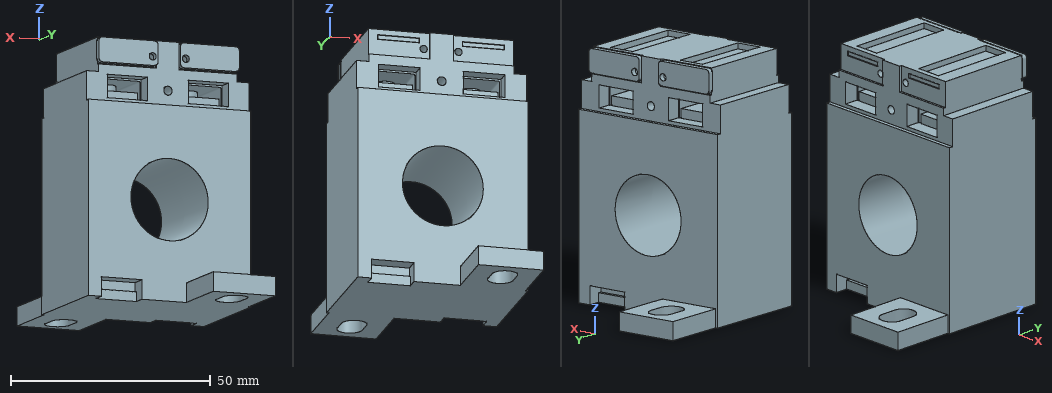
import cadquery as cq

SIDES = (-1, 1)

WIDTH = 44.3
HEIGHT = 66.5
BASE_DEPTH = 30.3
BASE_TOP = 50.1
NECK_DEPTH = 28.05
NECK_TOP = 57.5
HEAD_WIDTH = 37.8
HEAD_FRONT = NECK_DEPTH / 2

BORE_DIAMETER = 21.0
BORE_Z = 25.95

TOTAL_DEPTH = 65.3
FOOT_X = 13.05
FOOT_WIDTH = 17.0
FOOT_HEIGHT = 5.0
FOOT_LENGTH = (TOTAL_DEPTH - BASE_DEPTH) / 2
FOOT_SLOT_WIDTH = 6.5
FOOT_SLOT_LENGTH = 10.6
FOOT_SLOT_TO_TIP = 8.25

NOTCH_WIDTH = 11.05
NOTCH_DEPTH = 3.6
NOTCH_LIP_HEIGHT = FOOT_HEIGHT / 2
NOTCH_UNDERCUT = 1.0

CHAMBER_X = 11.05
CHAMBER_WIDTH = 10.2
CHAMBER_FLOOR = 51.0
CHAMBER_ROOF = 56.5
CHAMBER_CORNER_RADIUS = 0.4
MOUTH_STEP = 0.3
MOUTH_WIDTH = CHAMBER_WIDTH + 2 * MOUTH_STEP
MOUTH_ROOF = CHAMBER_ROOF + 0.45
MOUTH_DEPTH = 4.0

TERMINAL_X = 11.1
TERMINAL_WIDTH = 9.1
TERMINAL_TOP = 53.5
SCREW_DIAMETER = 5.2

RECESS_INNER_X = 3.05
RECESS_WIDTH = HEAD_WIDTH / 2 - RECESS_INNER_X
RECESS_DEPTH = 0.65
RECESS_FLOOR = 59.5
RECESS_FACE = HEAD_FRONT - RECESS_DEPTH

LATCH_WIDTH = MOUTH_WIDTH
LATCH_BOTTOM = 63.85
LATCH_TOP = 65.05
LATCH_DEPTH = 0.4

SEAL_HOLE_X = 4.5
SEAL_HOLE_Z = 62.25
SEAL_HOLE_DIAMETER = 1.85
CENTRE_HOLE_Z = 53.9
CENTRE_HOLE_DIAMETER = 2.25

LABEL_X = 11.1
LABEL_WIDTH = 7.05
LABEL_LENGTH = 23.5
LABEL_DEPTH = 1.5

COVER_WIDTH = 16.1
COVER_THICKNESS = 1.5
COVER_BOTTOM = 59.9
COVER_TOP = 66.3
COVER_CORNER_RADIUS = 1.0


def block(width, depth, bottom, top, x=0.0, y=0.0):
    """Box centred on (x, y) between two heights."""
    return cq.Workplane("XY", origin=(x, y, bottom)).box(
        width, depth, top - bottom, centered=(True, True, False)
    )


def cross_hole(diameter, x, z):
    """Cylinder along Y, longer than the housing is deep."""
    return cq.Workplane("XZ", origin=(x, 0, z)).circle(diameter / 2).extrude(BASE_DEPTH, both=True)


def rear_copy(front_shape):
    """The front shape turned half round the Z axis."""
    return front_shape.rotate((0, 0, 0), (0, 0, 1), 180)


def front_foot():
    """Slotted plate standing out from the front of the base."""
    plate = block(FOOT_WIDTH, FOOT_LENGTH, 0, FOOT_HEIGHT, FOOT_X, -(BASE_DEPTH + FOOT_LENGTH) / 2)
    slot = (
        cq.Workplane("XY", origin=(FOOT_X, -TOTAL_DEPTH / 2 + FOOT_SLOT_TO_TIP, 0))
        .slot2D(FOOT_SLOT_LENGTH, FOOT_SLOT_WIDTH, 90)
        .extrude(FOOT_HEIGHT)
    )
    return plate.cut(slot)


def front_notch():
    """Notch in the lower front edge, cut further back above its lip."""
    upper_depth = NOTCH_DEPTH + NOTCH_UNDERCUT
    front = -BASE_DEPTH / 2
    lower = block(NOTCH_WIDTH, NOTCH_DEPTH, 0, NOTCH_LIP_HEIGHT, -FOOT_X, front + NOTCH_DEPTH / 2)
    upper = block(NOTCH_WIDTH, upper_depth, NOTCH_LIP_HEIGHT, FOOT_HEIGHT, -FOOT_X, front + upper_depth / 2)
    return lower.union(upper)


def chamber(side):
    """Terminal chamber through the neck, rounded under its roof, with its two mouths."""
    x = side * CHAMBER_X
    cavity = block(CHAMBER_WIDTH, NECK_DEPTH, CHAMBER_FLOOR, CHAMBER_ROOF, x)
    cavity = cavity.faces(">Z").edges("|Y").fillet(CHAMBER_CORNER_RADIUS)
    for end in SIDES:
        mouth_y = end * (NECK_DEPTH - MOUTH_DEPTH) / 2
        cavity = cavity.union(block(MOUTH_WIDTH, MOUTH_DEPTH, CHAMBER_FLOOR, MOUTH_ROOF, x, mouth_y))
    return cavity


def corner_recess(side, end):
    """Shallow recess in one corner of the head."""
    x = side * (RECESS_INNER_X + RECESS_WIDTH / 2)
    y = end * (HEAD_FRONT - RECESS_DEPTH / 2)
    return block(RECESS_WIDTH, RECESS_DEPTH, RECESS_FLOOR, HEIGHT, x, y)


def latch_slot(side):
    """Shallow slot in the face of a front recess."""
    y = -RECESS_FACE + LATCH_DEPTH / 2
    return block(LATCH_WIDTH, LATCH_DEPTH, LATCH_BOTTOM, LATCH_TOP, side * CHAMBER_X, y)


def make_housing():
    base = block(WIDTH, BASE_DEPTH, 0, BASE_TOP)
    neck = block(WIDTH, NECK_DEPTH, BASE_TOP, NECK_TOP)
    head = block(HEAD_WIDTH, NECK_DEPTH, NECK_TOP, HEIGHT)
    body = base.union(neck).union(head)
    body = body.union(front_foot()).union(rear_copy(front_foot()))
    body = body.cut(front_notch()).cut(rear_copy(front_notch()))
    body = body.cut(cross_hole(BORE_DIAMETER, 0, BORE_Z))
    body = body.cut(cross_hole(CENTRE_HOLE_DIAMETER, 0, CENTRE_HOLE_Z))
    for side in SIDES:
        for end in SIDES:
            body = body.cut(corner_recess(side, end))
        body = body.cut(chamber(side))
        body = body.cut(latch_slot(side))
        body = body.cut(cross_hole(SEAL_HOLE_DIAMETER, side * SEAL_HOLE_X, SEAL_HOLE_Z))
        body = body.cut(block(LABEL_WIDTH, LABEL_LENGTH, HEIGHT - LABEL_DEPTH, HEIGHT, side * LABEL_X))
    return body


def make_terminal(side):
    """Clamp block on the chamber floor with its screw reaching up to the roof."""
    x = side * TERMINAL_X
    clamp = block(TERMINAL_WIDTH, NECK_DEPTH - 2 * MOUTH_DEPTH, CHAMBER_FLOOR, TERMINAL_TOP, x)
    screw = (
        cq.Workplane("XY", origin=(x, 0, TERMINAL_TOP))
        .circle(SCREW_DIAMETER / 2)
        .extrude(CHAMBER_ROOF - TERMINAL_TOP)
    )
    return clamp.union(screw)


def make_cover(side):
    """Round-cornered plate against the face of a rear recess."""
    x = side * (RECESS_INNER_X + COVER_WIDTH / 2)
    y = RECESS_FACE + COVER_THICKNESS / 2
    plate = block(COVER_WIDTH, COVER_THICKNESS, COVER_BOTTOM, COVER_TOP, x, y)
    plate = plate.edges("|Y").fillet(COVER_CORNER_RADIUS)
    return plate.cut(cross_hole(SEAL_HOLE_DIAMETER, side * SEAL_HOLE_X, SEAL_HOLE_Z))


housing = make_housing()
terminals = [make_terminal(side) for side in SIDES]
covers = [make_cover(side) for side in SIDES]

result = cq.Compound.makeCompound([housing.val()] + [body.val() for body in terminals + covers])